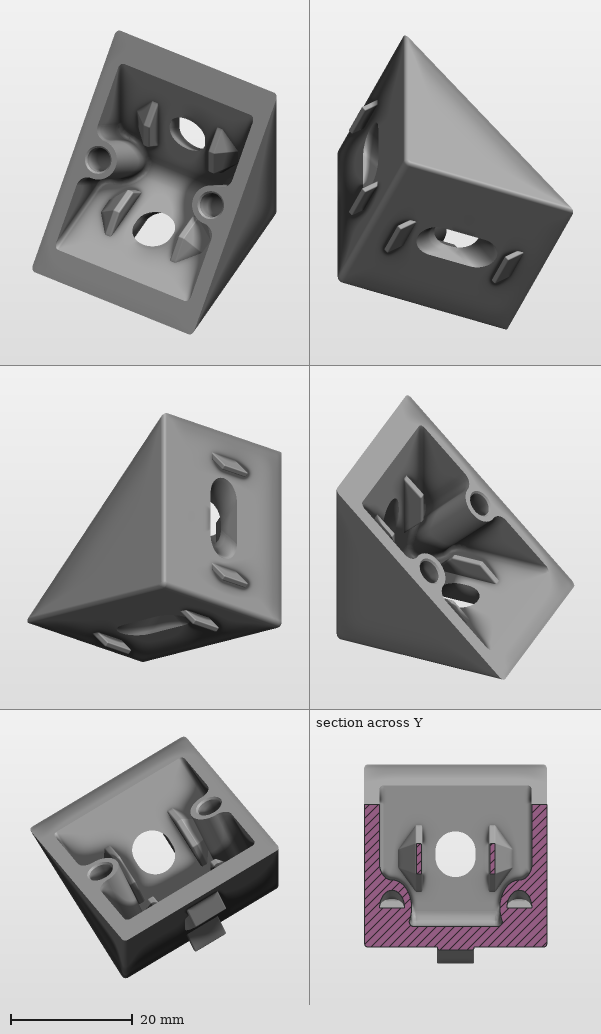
import cadquery as cq
import math


side = 30.0
wall = 3.45
cheek = 2.5
outer_radius = 0.7
outer_corner_radius = 1.0
cavity_half = side / 2 - cheek
cavity_radius = 0.75
corner_radius = 2.5
overshoot = 5.0

boss_x = 10.45
boss_radius = 3.25
boss_blend_radius = 2.0
bore_diameter = 4.0
bore_depth = 12.0
bore_chamfer = 0.3

slot_center = 15.25
slot_width = 6.6
slot_inner_length = 7.5
slot_outer_length = 13.8

rib_center = 14.55
rib_height = 3.1
rib_inner_x = 5.42
rib_outer_x = 6.5
rib_base_half = 5.5
rib_crest_half = 2.5
gusset_x = 9.4
gusset_half = 1.5
rib_radius = 0.3

tab_places = (6.3, 25.3)
tab_width = 6.0
tab_thickness = 0.9
tab_reach = 2.7
tab_root = 2.0
tab_radius = 0.2

tiny = 0.01
into_part = cq.Vector(0, 1, -1)


def wedge(width, inset, past_slope):
    """Right-angled prism along X, inset from both outer faces and extended past the slope."""
    end = side + past_slope - inset
    return (
        cq.Workplane("YZ", origin=(-width / 2, 0, 0))
        .polyline([(-inset, inset), (-end, inset), (-inset, end)])
        .close()
        .extrude(width)
    )


def swap_faces(shape):
    """Mirror a floor feature onto the back wall."""
    return shape.mirror(cq.Vector(0, 1, 1), (0, 0, 0))


def on_both_faces(shape):
    """A floor feature together with its twin on the back wall."""
    return [shape, swap_faces(shape)]


def slope_workplane(x):
    """Workplane halfway up the sloping face, its normal pointing into the part."""
    middle = (x, -side / 2, side / 2)
    return cq.Workplane(cq.Plane(origin=middle, xDir=(1, 0, 0), normal=into_part))


def make_body():
    body = wedge(side, 0, 0)
    body = body.edges("|X and >Y and <Z").fillet(outer_corner_radius)
    outer_edges = body.faces("<X or >X").edges().filter(
        lambda edge: edge.Center().y - edge.Center().z > -side + tiny
    )
    return outer_edges.fillet(outer_radius)


def make_boss(sign):
    """Round boss with a straight web that runs into the cheek on the given side."""
    start = slope_workplane(sign * boss_x).workplane(offset=-overshoot)
    length = side + overshoot
    boss = start.circle(boss_radius).extrude(length)
    web = start.center(sign * cheek, 0).rect(2 * cheek, 2 * boss_radius).extrude(length)
    return boss.union(web)


def is_cavity_bottom_edge(edge):
    """True where the upright sides of the cavity meet floor, back wall or their rounded corner."""
    box = edge.BoundingBox()
    runs_across = box.xlen > boss_x
    on_floor = box.zmax < wall + tiny
    on_back = box.ymin > -wall - tiny
    corner_end = wall + corner_radius + tiny
    in_corner = box.zmax < corner_end and box.ymin > -corner_end
    return not runs_across and (on_floor or on_back or in_corner)


def make_cavity():
    cavity = wedge(2 * cavity_half, wall, overshoot)
    cavity = cavity.edges("|X and >Y and <Z").fillet(corner_radius)
    for sign in (-1, 1):
        cavity = cavity.cut(make_boss(sign))
    boss_edges = cavity.edges(cq.selectors.ParallelDirSelector(into_part))
    cheek_edges = boss_edges.filter(lambda edge: abs(edge.Center().x) > cavity_half - tiny)
    cavity = cheek_edges.fillet(boss_blend_radius)
    return cavity.edges().filter(is_cavity_bottom_edge).fillet(cavity_radius)


def make_floor_slot():
    outer = cq.Workplane("XY", origin=(0, -slot_center, 0)).slot2D(slot_outer_length, slot_width, 90)
    return outer.workplane(offset=wall).slot2D(slot_inner_length, slot_width, 90).loft(ruled=True)


def make_floor_rib():
    """Rib with sloping ends, backed by a gusset that narrows away from it."""

    def corner(x, along, height):
        return cq.Vector(x, along - rib_center, wall + height)

    def end_corners(sign):
        return (
            corner(rib_inner_x, sign * rib_base_half, 0),
            corner(rib_outer_x, sign * rib_base_half, 0),
            corner(gusset_x, sign * gusset_half, 0),
            corner(rib_outer_x, sign * rib_crest_half, rib_height),
            corner(rib_inner_x, sign * rib_crest_half, rib_height),
        )

    near_in, near_out, near_gusset, near_crest_out, near_crest_in = end_corners(-1)
    far_in, far_out, far_gusset, far_crest_out, far_crest_in = end_corners(1)
    outlines = [
        [near_in, near_out, near_gusset, far_gusset, far_out, far_in],
        [near_crest_in, near_crest_out, far_crest_out, far_crest_in],
        [near_in, far_in, far_crest_in, near_crest_in],
        [near_in, near_out, near_crest_out, near_crest_in],
        [far_in, far_out, far_crest_out, far_crest_in],
        [near_out, near_gusset, near_crest_out],
        [near_gusset, far_gusset, far_crest_out, near_crest_out],
        [far_gusset, far_out, far_crest_out],
    ]
    faces = [cq.Face.makeFromWires(cq.Wire.makePolygon(outline, close=True)) for outline in outlines]
    rib = cq.Workplane(cq.Solid.makeSolid(cq.Shell.makeShell(faces)))

    raised_edges = rib.edges().filter(lambda edge: edge.BoundingBox().zmax > wall + tiny)
    return raised_edges.fillet(rib_radius)


def make_floor_tab(place):
    """Thin tab square to the sloping face, rounded except at its buried root."""
    root_plane = cq.Plane(origin=(0, -place, 0), xDir=(1, 0, 0), normal=into_part)
    length = (tab_reach - tab_radius) * math.sqrt(2) + 2 * tab_radius - tab_thickness / 2
    tab = (
        cq.Workplane(root_plane)
        .workplane(offset=-tab_root)
        .rect(tab_width, tab_thickness)
        .extrude(tab_root + length)
    )
    long_edges = cq.selectors.ParallelDirSelector(into_part)
    tip_edges = tab.faces(cq.selectors.DirectionMinMaxSelector(into_part)).edges()
    return tab.edges(long_edges).add(tip_edges).fillet(tab_radius)


def make_bore(sign):
    """Blind screw hole with a chamfered mouth."""
    mouth = slope_workplane(sign * boss_x)
    radius = bore_diameter / 2
    bore = mouth.circle(radius).extrude(bore_depth)
    countersink = (
        mouth.circle(radius + bore_chamfer)
        .workplane(offset=bore_chamfer)
        .circle(radius)
        .loft()
    )
    return bore.union(countersink)


result = make_body().cut(make_cavity())

for slot in on_both_faces(make_floor_slot()):
    result = result.cut(slot)

right_rib = make_floor_rib()
for floor_rib in (right_rib, right_rib.mirror("YZ")):
    for rib in on_both_faces(floor_rib):
        result = result.union(rib)

for place in tab_places:
    for tab in on_both_faces(make_floor_tab(place)):
        result = result.union(tab)

for sign in (-1, 1):
    result = result.cut(make_bore(sign))